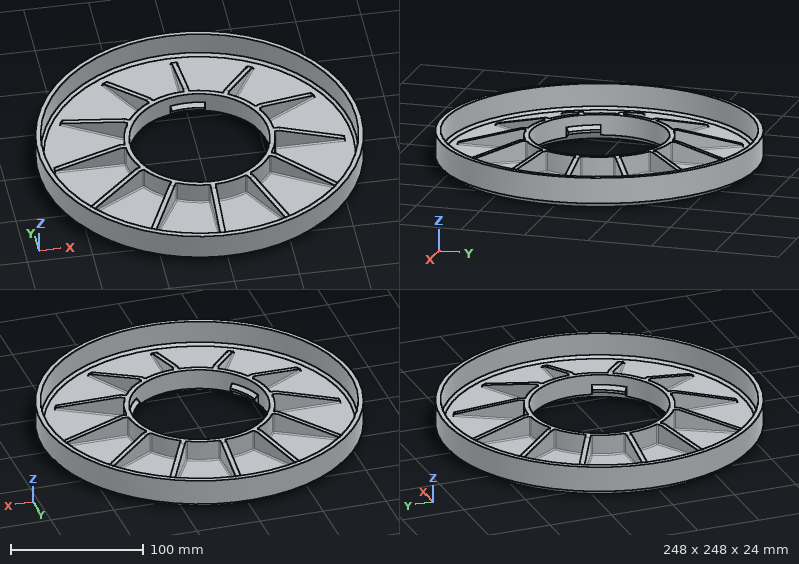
import cadquery as cq

outer_radius = 124.0
rim_height = 24.0
wall = 4.0
bottom_bevel = wall
rim_inner_radius = outer_radius - wall
rim_corner_bevel = 2.2

bore_radius = 53.0
bore_bevel = wall
hub_radius = bore_radius + wall
hub_height = rim_height - wall

rib_count = 12
rib_shoulder_radius = 61.0
rib_tip_radius = 111.0
rib_tip_height = 1.0
root_fillet = 1.0
trim_margin = 2.5
trim_clearance = 1.2

lug_count = 3
lug_first_angle = 90.0
lug_span = 29.0
lug_reach = 3.0
lug_edge_height = 2.0
lug_edge_top = bore_bevel + lug_reach + lug_edge_height
lug_overlap = wall / 2


def turned(profile, sweep=360):
    """Revolve an outline of (radius, height) points about Z."""
    return cq.Workplane("XZ").polyline(profile).close().revolve(sweep, (0, 0), (0, 1))


def around_axis(shape, angle):
    """Turn a shape about Z."""
    return shape.rotate((0, 0, 0), (0, 0, 1), angle)


def make_dish():
    """Floor and rim, without the bore."""
    return turned([
        (0, 0),
        (outer_radius - bottom_bevel, 0),
        (outer_radius, bottom_bevel),
        (outer_radius, rim_height),
        (rim_inner_radius, rim_height),
        (rim_inner_radius, wall + rim_corner_bevel),
        (rim_inner_radius - rim_corner_bevel, wall),
        (0, wall),
    ])


def make_hub_with_ribs():
    """Hub and full-height ribs, standing on the floor."""
    rib_length = rib_tip_radius + trim_margin
    body = cq.Workplane("XY").workplane(offset=wall).circle(hub_radius).extrude(hub_height - wall)
    for index in range(rib_count):
        rib = (
            cq.Workplane("XY")
            .box(rib_length, wall, hub_height - wall, centered=(False, True, False))
            .translate((0, 0, wall))
        )
        body = body.union(around_axis(rib, index * 360 / rib_count))
    return body


def make_rib_trim():
    """Cutter that slopes one rib down to its tip and squares the tip off."""
    end_radius = rib_tip_radius + trim_margin + trim_clearance
    side = [
        (rib_shoulder_radius, hub_height),
        (rib_tip_radius, wall + rib_tip_height),
        (rib_tip_radius, wall),
        (end_radius, wall),
        (end_radius, hub_height),
    ]
    return cq.Workplane("XZ").polyline(side).close().extrude(wall, both=True)


def make_flare():
    """Cutter for the 45 degree flare at the underside, a full cone that also shapes the lugs from below."""
    base_radius = bore_radius + bore_bevel
    return turned([(0, 0), (base_radius, 0), (0, base_radius)])


def make_lug(middle_angle):
    """One lug on the bore wall, sloping at 45 degrees from the wall down to its inner face."""
    inner_radius = bore_radius - lug_reach
    back_radius = bore_radius + lug_overlap
    lug = turned([
        (back_radius, 0),
        (inner_radius, 0),
        (inner_radius, lug_edge_top),
        (bore_radius, lug_edge_top + lug_reach),
        (back_radius, lug_edge_top + lug_reach),
    ], lug_span)
    return around_axis(lug, middle_angle - lug_span / 2)


def round_hub_corners(body):
    """Round the upright corners where ribs leave the hub, but not those at the rib tips."""
    reach = rib_shoulder_radius
    hub_zone = cq.selectors.BoxSelector((-reach, -reach, 0), (reach, reach, rim_height))
    return body.edges("|Z").edges(hub_zone).fillet(root_fillet)


def round_foot(body):
    """Round the foot of the hub and ribs; the much longer rim circles at that height stay sharp."""
    floor_zone = cq.selectors.BoxSelector(
        (-outer_radius, -outer_radius, wall - root_fillet / 2),
        (outer_radius, outer_radius, wall + root_fillet / 2),
    )
    foot_edges = body.edges(floor_zone).filter(lambda edge: edge.Length() < rib_tip_radius)
    return foot_edges.fillet(root_fillet)


hub_and_ribs = round_hub_corners(make_hub_with_ribs())
result = round_foot(make_dish().union(hub_and_ribs))
for index in range(rib_count):
    result = result.cut(around_axis(make_rib_trim(), index * 360 / rib_count))

result = result.cut(cq.Workplane("XY").circle(bore_radius).extrude(rim_height))
for index in range(lug_count):
    result = result.union(make_lug(lug_first_angle + index * 360 / lug_count))
result = result.cut(make_flare())